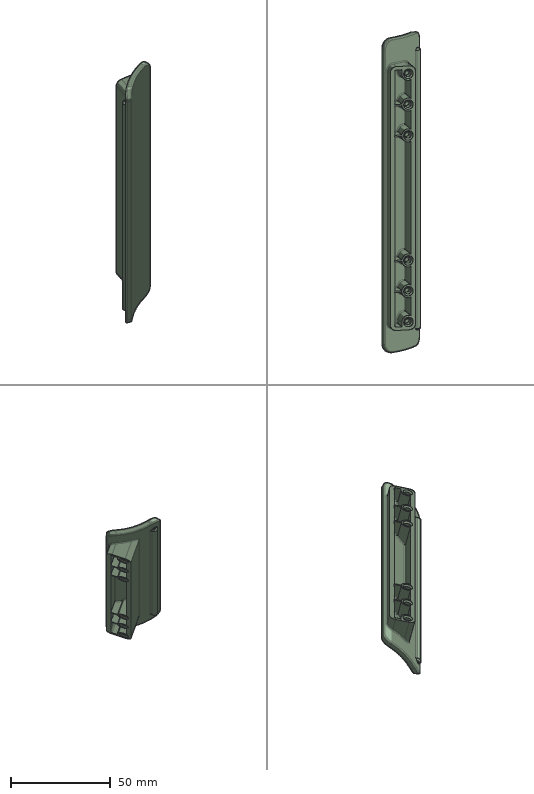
import cadquery as cq
import math

PLATE_LENGTH = 162.0
AXIS_X = 42.1
AXIS_Y = 33.0
INNER_RADIUS = 35.6
THICKNESS = 3.0
OUTER_RADIUS = INNER_RADIUS + THICKNESS
UPPER_ANGLE = 195.3
LOWER_OUTER_ANGLE = 239.7
LOWER_INNER_ANGLE = 237.7
CORNER_RADIUS = 4.9
RIM_FILLET = 0.6

PEDESTAL_LENGTH = 136.0
PEDESTAL_LOW_Y = 8.0
PEDESTAL_HIGH_Y = 21.0
PEDESTAL_CORNER = 3.0
BODY_DEPTH = 19.5
SIDE_WALL = 2.5
END_WALL = 1.8
POCKET_CORNER = 0.6
ROOT_FILLET = 0.5

BOSS_Y = 11.7
BOSS_RADIUS = 3.4
BOSS_FIRST_Z = 32.2
BOSS_PITCH = 15.9
BOSSES_PER_HALF = 3
BOSS_HEIGHTS = [BOSS_FIRST_Z + i * BOSS_PITCH for i in range(BOSSES_PER_HALF)]
RIB_THICKNESS = 0.8
HOLE_RADIUS = 1.6
HOLE_DEPTH = 4.9
DRILL_TIP_DEPTH = 1.6
COUNTERSINK_RADIUS = 2.5
COUNTERSINK_DEPTH = 0.8

BEAD_X = 19.0
BEAD_Y = 2.3
BEAD_RADIUS = 1.86
BEAD_LENGTH = 145.5
BEAD_CHAMFER = 1.0
BEAD_BLEND = 0.8

TOLERANCE = 0.002


def polar(radius, degrees):
    """Point on a circle about the plate's axis of curvature."""
    angle = math.radians(degrees)
    return AXIS_X + radius * math.cos(angle), AXIS_Y + radius * math.sin(angle)


def centred_prism(outline, length):
    """Extrude a closed XY outline equally to both sides of Z = 0."""
    return outline.extrude(length).translate((0, 0, -length / 2))


def cylinder_along_z(x, y, radius, length):
    return centred_prism(cq.Workplane("XY").center(x, y).circle(radius), length)


def cylinder_along_x(radius, y, z, length):
    """Cylinder starting at X = 0 and running toward +X."""
    return cq.Workplane("YZ").center(y, z).circle(radius).extrude(length)


def cone_along_x(start_radius, end_radius, x, y, z, length):
    start = cq.Vector(x, y, z)
    return cq.Workplane(cq.Solid.makeCone(start_radius, end_radius, length, start, cq.Vector(1, 0, 0)))


def rounded_block(low_y, high_y, length, corner):
    """Block from X = 0, centred on Z = 0, with rounded corners in the YZ plane."""
    block = cq.Workplane("XY").box(BODY_DEPTH, high_y - low_y, length, centered=(False, False, True))
    return block.translate((0, low_y, 0)).edges("|X").fillet(corner)


def behind_plate(body):
    """Keep only the part of a body on the convex side of the plate's mid surface."""
    mid_radius = OUTER_RADIUS - THICKNESS / 2
    return body.cut(cylinder_along_z(AXIS_X, AXIS_Y, mid_radius, PLATE_LENGTH))


def make_plate():
    """Curved strip with rounded corners and a fillet around both broad faces."""
    middle_angle = (UPPER_ANGLE + LOWER_INNER_ANGLE) / 2
    outline = (
        cq.Workplane("XY")
        .moveTo(*polar(OUTER_RADIUS, UPPER_ANGLE))
        .threePointArc(polar(OUTER_RADIUS, middle_angle), polar(OUTER_RADIUS, LOWER_OUTER_ANGLE))
        .lineTo(*polar(INNER_RADIUS, LOWER_INNER_ANGLE))
        .threePointArc(polar(INNER_RADIUS, middle_angle), polar(INNER_RADIUS, UPPER_ANGLE))
        .close()
    )
    plate = centred_prism(outline, PLATE_LENGTH)
    plate = plate.faces("<Z or >Z").edges("%LINE").fillet(CORNER_RADIUS)
    curved_faces = plate.faces("%CYLINDER")
    convex_face = curved_faces.faces(cq.selectors.AreaNthSelector(-1))
    concave_face = curved_faces.faces(cq.selectors.AreaNthSelector(-2))
    return convex_face.add(concave_face).edges().fillet(RIM_FILLET)


def make_boss(z):
    """Screw boss, joined to the pocket's end wall or braced by a rib to its far side wall."""
    boss = cylinder_along_x(BOSS_RADIUS, BOSS_Y, z, BODY_DEPTH)
    if z == BOSS_HEIGHTS[-1]:
        reach = PEDESTAL_LENGTH / 2 - END_WALL / 2 - z
        brace = cq.Workplane("XY").box(BODY_DEPTH, 2 * BOSS_RADIUS, reach, centered=(False, True, False))
    else:
        reach = PEDESTAL_HIGH_Y - SIDE_WALL / 2 - BOSS_Y
        brace = cq.Workplane("XY").box(BODY_DEPTH, reach, RIB_THICKNESS, centered=(False, False, True))
    return boss.union(brace.translate((0, BOSS_Y, z)))


def make_pedestal():
    """Frame with bosses and ribs, trimmed inside the plate."""
    envelope = rounded_block(PEDESTAL_LOW_Y, PEDESTAL_HIGH_Y, PEDESTAL_LENGTH, PEDESTAL_CORNER)
    pocket = rounded_block(
        PEDESTAL_LOW_Y + SIDE_WALL,
        PEDESTAL_HIGH_Y - SIDE_WALL,
        PEDESTAL_LENGTH - 2 * END_WALL,
        POCKET_CORNER,
    )
    pedestal = envelope.cut(pocket)
    for z in BOSS_HEIGHTS:
        boss = make_boss(z).intersect(envelope)
        pedestal = pedestal.union(boss).union(boss.mirror("XY"))
    return behind_plate(pedestal)


def is_pedestal_root(edge):
    """True for an edge where the pedestal meets the convex face of the plate."""
    for position in (0.1, 0.5, 0.9):
        point = edge.positionAt(position)
        on_plate = abs(math.hypot(point.x - AXIS_X, point.y - AXIS_Y) - OUTER_RADIUS) < TOLERANCE
        in_height = abs(point.z) < PEDESTAL_LENGTH / 2 + TOLERANCE
        in_width = PEDESTAL_LOW_Y - TOLERANCE < point.y < PEDESTAL_HIGH_Y + TOLERANCE
        if not (on_plate and in_height and in_width):
            return False
    return True


def make_bead():
    """Round bead with bevelled ends, running into the plate through a concave strip."""
    bead = cylinder_along_z(BEAD_X, BEAD_Y, BEAD_RADIUS, BEAD_LENGTH)
    bead = behind_plate(bead.edges().chamfer(BEAD_CHAMFER))

    axis_to_bead = math.hypot(BEAD_X - AXIS_X, BEAD_Y - AXIS_Y)
    axis_to_blend = OUTER_RADIUS + BEAD_BLEND
    bead_to_blend = BEAD_RADIUS + BEAD_BLEND
    cosine = (axis_to_bead**2 + axis_to_blend**2 - bead_to_blend**2) / (2 * axis_to_bead * axis_to_blend)
    bead_angle = math.degrees(math.atan2(BEAD_Y - AXIS_Y, BEAD_X - AXIS_X))
    blend_angle = bead_angle - math.degrees(math.acos(cosine))
    blend_x, blend_y = polar(axis_to_blend, blend_angle)
    touch_plate = polar(OUTER_RADIUS, blend_angle)
    touch_bead = (
        BEAD_X + (blend_x - BEAD_X) * BEAD_RADIUS / bead_to_blend,
        BEAD_Y + (blend_y - BEAD_Y) * BEAD_RADIUS / bead_to_blend,
    )
    corners = [touch_plate, (blend_x, blend_y), touch_bead, (BEAD_X, BEAD_Y)]
    strip_length = BEAD_LENGTH - 2 * BEAD_CHAMFER
    strip = centred_prism(cq.Workplane("XY").polyline(corners).close(), strip_length)
    strip = strip.cut(cylinder_along_z(blend_x, blend_y, BEAD_BLEND, strip_length))
    return bead.union(strip)


def make_screw_hole(z):
    """Countersunk blind hole with a conical bottom."""
    hole = cylinder_along_x(HOLE_RADIUS, BOSS_Y, z, HOLE_DEPTH)
    mouth = cone_along_x(COUNTERSINK_RADIUS, HOLE_RADIUS, 0, BOSS_Y, z, COUNTERSINK_DEPTH)
    tip = cone_along_x(HOLE_RADIUS, 0, HOLE_DEPTH, BOSS_Y, z, DRILL_TIP_DEPTH)
    return hole.union(mouth).union(tip)


body = make_plate().union(make_pedestal())
roots = [edge for edge in body.edges().vals() if is_pedestal_root(edge)]
body = body.newObject(roots).fillet(ROOT_FILLET)
body = body.union(make_bead())
for height in BOSS_HEIGHTS:
    body = body.cut(make_screw_hole(height)).cut(make_screw_hole(-height))

result = body.solids()